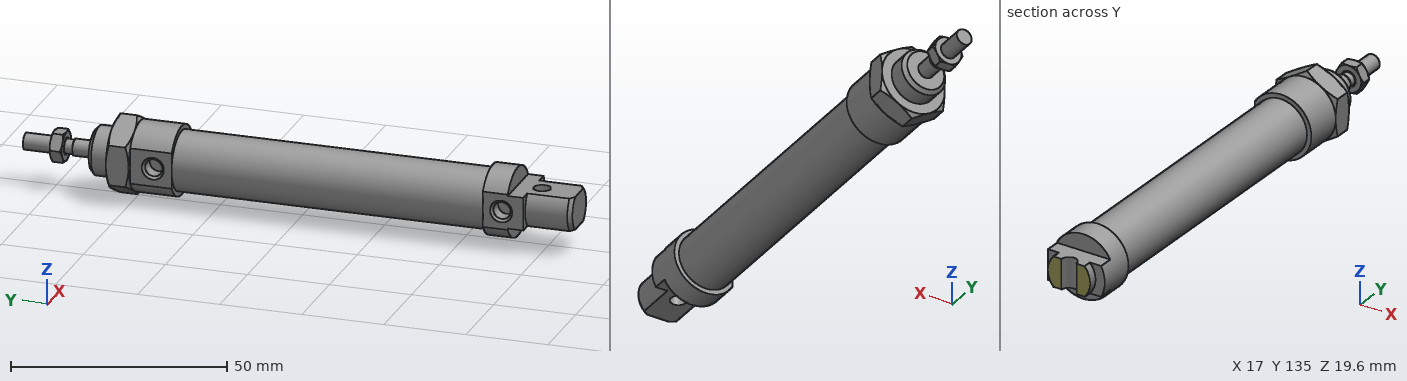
import cadquery as cq
import math


clevis_root_y = 11.2
flats_end_y = 15.0
rear_cap_front_y = 21.0
front_cap_rear_y = 96.9
shoulder_y = 107.0
nose_end_y = 118.0
neck_start_y = 123.0
rod_tip_y = 135.0

tube_radius = 7.3
cap_radius = 8.5
flat_x = -tube_radius
boss_radius = 6.0
boss_chamfer = 1.0
clevis_thickness = 8.1
pivot_hole_diameter = 4.0
pivot_hole_y = 9.0

port_diameter = 4.2
port_mouth_diameter = 5.4
port_chamfer = (port_mouth_diameter - port_diameter) / 2
port_depth = 4.0
port_stations = (16.6, 101.5)

rod_radius = 2.0
neck_radius = 1.8
rod_seat_depth = 5.4

mounting_nut_across_flats = 17.0
mounting_nut_thickness = 5.5
rod_nut_across_flats = 7.0
rod_nut_thickness = 3.0
rod_nut_rear_y = 125.0
nut_chamfer_angle = 30.0


def along_y(y):
    """Workplane at station y whose normal points along +Y and whose local x is +X."""
    return cq.Workplane(cq.Plane(origin=(0, y, 0), xDir=(1, 0, 0), normal=(0, 1, 0)))


def cylinder(radius, y_start, y_end):
    """Round bar on the long axis between two stations."""
    return along_y(y_start).circle(radius).extrude(y_end - y_start)


def revolved(profile):
    """Solid of revolution about Y from (radius, y) points."""
    return cq.Workplane("XY").polyline(profile).close().revolve(360, (0, 0, 0), (0, 1, 0))


def make_cap(y_start, y_end):
    """Round end cap with one flat on the -X side."""
    cap = cylinder(cap_radius, y_start, y_end)
    beyond_flat = cq.Workplane("XY").box(
        cap_radius, y_end - y_start, 2 * cap_radius, centered=(True, False, True)
    ).translate((flat_x - cap_radius / 2, y_start, 0))
    return cap.cut(beyond_flat)


def make_nose():
    """Front threaded boss with a chamfered end."""
    return cylinder(boss_radius, shoulder_y, nose_end_y).faces(">Y").chamfer(boss_chamfer)


def make_rear_end():
    """Rear cap and clevis, both milled to the clevis thickness behind the cap."""
    clevis = cylinder(boss_radius, 0, clevis_root_y).faces("<Y").chamfer(boss_chamfer)
    body = make_cap(clevis_root_y, rear_cap_front_y).union(clevis)
    for side in (1, -1):
        milled = cq.Workplane("XY").box(
            2 * cap_radius, flats_end_y, cap_radius, centered=(True, False, True)
        ).translate((0, 0, side * (clevis_thickness + cap_radius) / 2))
        body = body.cut(milled)
    pivot_hole = (
        cq.Workplane("XY")
        .center(0, pivot_hole_y)
        .circle(pivot_hole_diameter / 2)
        .extrude(clevis_thickness, both=True)
    )
    return body.cut(pivot_hole)


def make_port(y):
    """Cutter for a blind air port with a chamfered mouth, entering from the flat."""
    mouth = port_mouth_diameter / 2
    bore = port_diameter / 2
    return (
        cq.Workplane("XY")
        .polyline([
            (flat_x, y),
            (flat_x, y + mouth),
            (flat_x + port_chamfer, y + bore),
            (flat_x + port_depth, y + bore),
            (flat_x + port_depth, y),
        ])
        .close()
        .revolve(360, (0, y, 0), (1, y, 0))
    )


def make_housing():
    tube = cylinder(tube_radius, rear_cap_front_y, front_cap_rear_y)
    housing = make_rear_end().union(tube)
    housing = housing.union(make_cap(front_cap_rear_y, shoulder_y)).union(make_nose())
    for y in port_stations:
        housing = housing.cut(make_port(y))
    return housing.cut(cylinder(rod_radius, nose_end_y - rod_seat_depth, nose_end_y))


def make_piston_rod():
    """Rod with a thread relief neck that runs into the rod nut."""
    return revolved([
        (0, nose_end_y - rod_seat_depth),
        (rod_radius, nose_end_y - rod_seat_depth),
        (rod_radius, neck_start_y),
        (neck_radius, neck_start_y),
        (neck_radius, rod_nut_rear_y),
        (rod_radius, rod_nut_rear_y),
        (rod_radius, rod_tip_y),
        (0, rod_tip_y),
    ])


def make_hex_nut(across_flats, bore_radius, y_start, y_end, corner_turn):
    """Hex nut on the long axis, its corners coned off on both faces.

    corner_turn is the angle in degrees from the X axis to a corner.
    """
    flat_radius = across_flats / 2
    corner_radius = flat_radius / math.cos(math.pi / 6)
    cone_height = (corner_radius - flat_radius) * math.tan(math.radians(nut_chamfer_angle))
    envelope = revolved([
        (0, y_start),
        (flat_radius, y_start),
        (corner_radius, y_start + cone_height),
        (corner_radius, y_end - cone_height),
        (flat_radius, y_end),
        (0, y_end),
    ])
    prism = along_y(y_start).polygon(6, 2 * corner_radius).extrude(y_end - y_start)
    prism = prism.rotate((0, 0, 0), (0, 1, 0), corner_turn)
    return prism.intersect(envelope).cut(cylinder(bore_radius, y_start, y_end))


def make_mounting_nut():
    """Large nut seated against the front cap, with corners on Z."""
    front_y = shoulder_y + mounting_nut_thickness
    return make_hex_nut(mounting_nut_across_flats, boss_radius, shoulder_y, front_y, 90)


def make_rod_nut():
    """Small nut on the rod thread, with corners on X."""
    front_y = rod_nut_rear_y + rod_nut_thickness
    return make_hex_nut(rod_nut_across_flats, rod_radius, rod_nut_rear_y, front_y, 0)


housing = make_housing()
piston_rod = make_piston_rod()
mounting_nut = make_mounting_nut()
rod_nut = make_rod_nut()

result = cq.Compound.makeCompound([
    housing.val(),
    piston_rod.val(),
    mounting_nut.val(),
    rod_nut.val(),
])